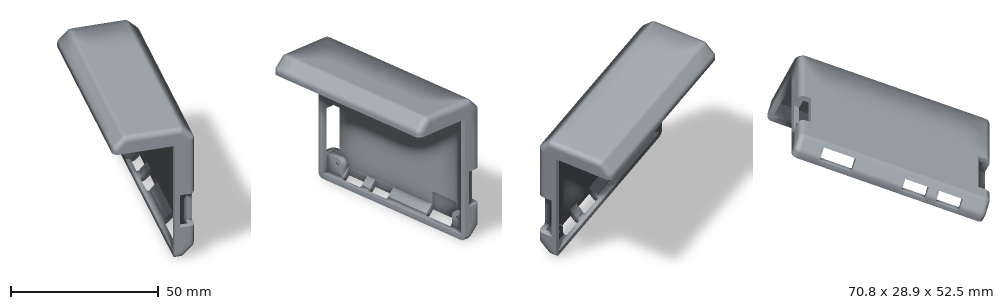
import cadquery as cq

length = 70.8
depth = 28.9
height = 52.5

wall = 2.0
outer_chamfer = 4.2
inner_chamfer = 3.05
leg_depth = 7.2
arm_height = 6.3

side = length / 2
inner_side = side - wall
inner_back = depth - wall
leg_front = depth - leg_depth
arm_bottom = height - arm_height

boss_depth = 2.6
boss_width = 6.95
boss_height = 6.4
boss_radius = 2.5
boss_front = inner_back - boss_depth
pin_hole_diameter = 1.5
pin_hole_span = 58.1
pin_hole_z = 5.9

window_depth = 5.3
left_window_bottom = 9.0
left_window_top = 25.9
left_window_reach = 4.8
right_window_bottom = 12.45
right_window_top = 25.7
right_window_reach = 4.0

small_slot_width = 8.7
small_slot_top = wall + inner_chamfer
small_slot_starts = (-25.8, -13.2)
small_slot_front = boss_front - 1.05
small_slot_back = inner_back - 0.1

wide_slot_width = 11.9
wide_slot_top = 9.9
wide_slot_start = 14.1
wide_slot_front = boss_front - 0.6
wide_slot_back = inner_back + 0.65


def block_between(x0, x1, y0, y1, z0, z1):
    """Block between two opposite corners."""
    block = cq.Workplane("XY").box(x1 - x0, y1 - y0, z1 - z0, centered=False)
    return block.translate((x0, y0, z0))


def chamfered_block(inset, chamfer):
    """Outer block shrunk by an inset, with its four long edges chamfered."""
    block = block_between(inset - side, side - inset, inset, depth - inset, inset, height - inset)
    return block.edges("|X").chamfer(chamfer)


def l_shape_trim():
    """Space in front of the leg and below the arm."""
    return block_between(-side, side, 0, leg_front, 0, arm_bottom)


def boss():
    """Boss in the left bottom corner, rounded at its free corner and run into the walls."""
    free_side = boss_width - inner_side
    block = block_between(-side, free_side, boss_front, depth, 0, wall + boss_height)
    block = block.edges("|Y and >Z and >X").fillet(boss_radius)
    return block.intersect(outer)


def pin_hole():
    """Blind hole in the left boss, as deep as the boss."""
    plane = cq.Workplane("XZ", origin=(-pin_hole_span / 2, boss_front, pin_hole_z))
    return plane.circle(pin_hole_diameter / 2).extrude(-boss_depth)


def window(x0, x1, z0, z1):
    """Side window, open to the back."""
    return block_between(x0, x1, depth - window_depth, depth, z0, z1)


outer = chamfered_block(0, outer_chamfer).edges().fillet(wall)
cavity = chamfered_block(wall, inner_chamfer)
result = outer.cut(cavity)

left_boss = boss()
result = result.union(left_boss).union(left_boss.mirror("YZ"))
board_space = block_between(-inner_side, inner_side, leg_front, boss_front, wall, arm_bottom)
result = result.cut(board_space).cut(l_shape_trim())

left_hole = pin_hole()
result = result.cut(left_hole).cut(left_hole.mirror("YZ"))

result = result.cut(window(-side, left_window_reach - side, left_window_bottom, left_window_top))
result = result.cut(window(side - right_window_reach, side, right_window_bottom, right_window_top))

for start in small_slot_starts:
    end = start + small_slot_width
    result = result.cut(block_between(start, end, small_slot_front, small_slot_back, 0, small_slot_top))
wide_slot_end = wide_slot_start + wide_slot_width
result = result.cut(
    block_between(wide_slot_start, wide_slot_end, wide_slot_front, wide_slot_back, 0, wide_slot_top)
)